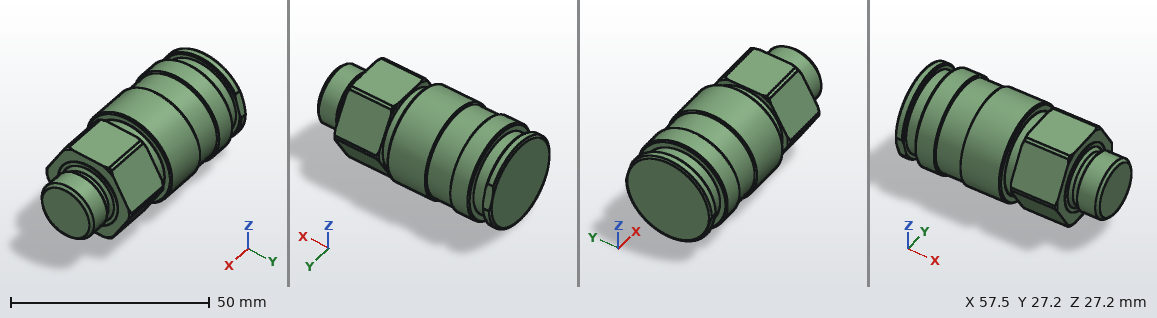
import cadquery as cq
import math


collar_end = 2.5
sleeve_start = 6.25
sleeve_end = 31.7
hex_start = 34.5
hex_end = 48.25
rim_end = 48.45
undercut_start = 49.35
undercut_arc_end = 50.9
spigot_start = 51.2
total_length = 57.45

collar_diameter = 26.0
neck_diameter = 23.1
rear_neck_diameter = 22.8
rim_diameter = 19.0
spigot_diameter = 16.65
undercut_diameter = 14.75

collar_front_chamfer_length = 0.4
collar_front_chamfer_depth = 0.65
collar_rear_chamfer = 0.35
collar_across_flats = 25.0
collar_flat_tilt = 15.0

hex_across_flats = 24.0
hex_turned_diameter = 27.2
hex_chamfer_angle = 30.0
hex_face_diameter = 25.9

undercut_arc_rise = 0.45
spigot_chamfer_length = 0.85
spigot_chamfer_depth = 0.8

sleeve_diameter = 27.2
sleeve_chamfer = 0.4
groove_diameter = 26.0
groove_start = 12.0
groove_end = 19.9
groove_wall_run = 0.25


def revolve_about_x(profile):
    """Turn a closed profile drawn in the XY plane (X axial, Y radial) around the X axis."""
    return profile.close().revolve(360, (0, 0, 0), (1, 0, 0))


def make_collar():
    radius = collar_diameter / 2
    collar = revolve_about_x(
        cq.Workplane("XY")
        .moveTo(0, 0)
        .lineTo(0, radius - collar_front_chamfer_depth)
        .lineTo(collar_front_chamfer_length, radius)
        .lineTo(collar_end - collar_rear_chamfer, radius)
        .lineTo(collar_end, radius - collar_rear_chamfer)
        .lineTo(collar_end, 0)
    )
    flats = (
        cq.Workplane("YZ")
        .rect(collar_across_flats, 2 * collar_diameter)
        .extrude(collar_end)
        .rotate((0, 0, 0), (1, 0, 0), collar_flat_tilt)
    )
    return collar.intersect(flats)


def make_necks():
    """Front neck running through the sleeve, then the slimmer neck up to the hexagon."""
    front_neck = (
        cq.Workplane("YZ", origin=(collar_end, 0, 0))
        .circle(neck_diameter / 2)
        .extrude(sleeve_end - collar_end)
    )
    rear_neck = (
        cq.Workplane("YZ", origin=(sleeve_end, 0, 0))
        .circle(rear_neck_diameter / 2)
        .extrude(hex_start - sleeve_end)
    )
    return front_neck.union(rear_neck)


def make_hexagon():
    """Hexagon with corners on the Y axis, turned down at the corners and at both ends."""
    prism = (
        cq.Workplane("YZ", origin=(hex_start, 0, 0))
        .polygon(6, hex_across_flats / math.cos(math.pi / 6))
        .extrude(hex_end - hex_start)
    )
    turned_radius = hex_turned_diameter / 2
    face_radius = hex_face_diameter / 2
    chamfer_length = (turned_radius - face_radius) * math.tan(math.radians(hex_chamfer_angle))
    envelope = revolve_about_x(
        cq.Workplane("XY")
        .moveTo(hex_start, 0)
        .lineTo(hex_start, face_radius)
        .lineTo(hex_start + chamfer_length, turned_radius)
        .lineTo(hex_end - chamfer_length, turned_radius)
        .lineTo(hex_end, face_radius)
        .lineTo(hex_end, 0)
    )
    return prism.intersect(envelope)


def make_spigot():
    """Sealing rim, undercut and chamfered threaded end behind the hexagon."""
    radius = spigot_diameter / 2
    undercut_radius = undercut_diameter / 2
    arc_run = undercut_arc_end - undercut_start
    arc_radius = (arc_run**2 + undercut_arc_rise**2) / (2 * undercut_arc_rise)
    half_sweep = math.atan(undercut_arc_rise / arc_run)
    arc_middle = (
        undercut_start + arc_radius * math.sin(half_sweep),
        undercut_radius + arc_radius * (1 - math.cos(half_sweep)),
    )
    arc_end = (undercut_arc_end, undercut_radius + undercut_arc_rise)
    return revolve_about_x(
        cq.Workplane("XY")
        .moveTo(hex_end, 0)
        .lineTo(hex_end, rim_diameter / 2)
        .lineTo(rim_end, rim_diameter / 2)
        .lineTo(rim_end, radius)
        .lineTo(undercut_start, undercut_radius)
        .threePointArc(arc_middle, arc_end)
        .lineTo(spigot_start, radius)
        .lineTo(total_length - spigot_chamfer_length, radius)
        .lineTo(total_length, radius - spigot_chamfer_depth)
        .lineTo(total_length, 0)
    )


def make_body():
    return make_collar().union(make_necks()).union(make_hexagon()).union(make_spigot())


def make_sleeve():
    """Sliding sleeve with a wide shallow groove, bored to fit the front neck."""
    bore_radius = neck_diameter / 2
    radius = sleeve_diameter / 2
    groove_radius = groove_diameter / 2
    return revolve_about_x(
        cq.Workplane("XY")
        .moveTo(sleeve_start, bore_radius)
        .lineTo(sleeve_start, radius - sleeve_chamfer)
        .lineTo(sleeve_start + sleeve_chamfer, radius)
        .lineTo(groove_start, radius)
        .lineTo(groove_start + groove_wall_run, groove_radius)
        .lineTo(groove_end - groove_wall_run, groove_radius)
        .lineTo(groove_end, radius)
        .lineTo(sleeve_end - sleeve_chamfer, radius)
        .lineTo(sleeve_end, radius - sleeve_chamfer)
        .lineTo(sleeve_end, bore_radius)
    )


body = make_body()
sleeve = make_sleeve()
result = cq.Compound.makeCompound([body.val(), sleeve.val()])